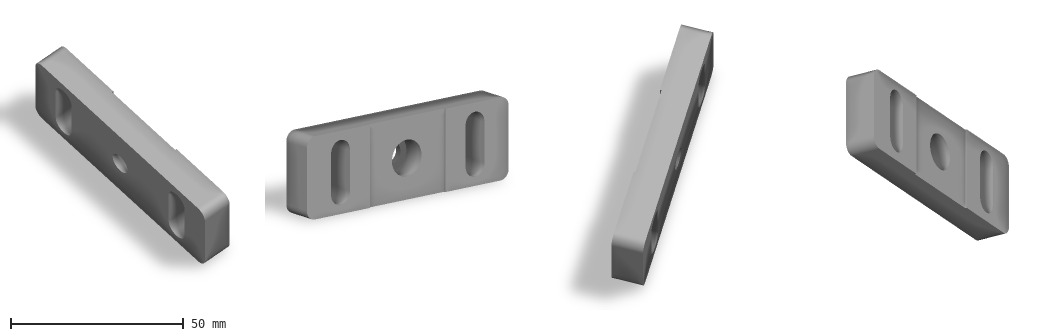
import cadquery as cq

length = 75.0
thickness = 9.5
height = 25.0
corner_radius = 3.0

slot_spacing = 50.0
slot_width = 7.0
slot_length = 19.5

hole_diameter = 6.6
counterbore_diameter = 11.0
front_web = 2.0
counterbore_depth = thickness - front_web

channel_width = 28.0
channel_depth = 0.5


def make_plate():
    """Plate with its four corners rounded along Y."""
    plate = cq.Workplane("XY").box(length, thickness, height, centered=(True, False, True))
    return plate.edges("|Y").fillet(corner_radius)


def cut_slots(body):
    """Pair of round-ended slots, upright along Z."""
    return (
        body.faces("<Y")
        .workplane(centerOption="CenterOfBoundBox")
        .rarray(slot_spacing, 1, 2, 1)
        .slot2D(slot_length, slot_width, angle=90)
        .cutThruAll()
    )


def cut_hole(body):
    """Hole through the middle of the plate, with its counterbore opening on the back face."""
    return (
        body.faces(">Y")
        .workplane(centerOption="CenterOfBoundBox")
        .cboreHole(hole_diameter, counterbore_diameter, counterbore_depth)
    )


def cut_channel(body):
    """Shallow channel in the middle of the back face."""
    channel = (
        cq.Workplane("XY")
        .box(channel_width, channel_depth, height, centered=(True, False, True))
        .translate((0, thickness - channel_depth, 0))
    )
    return body.cut(channel)


result = cut_channel(cut_hole(cut_slots(make_plate())))